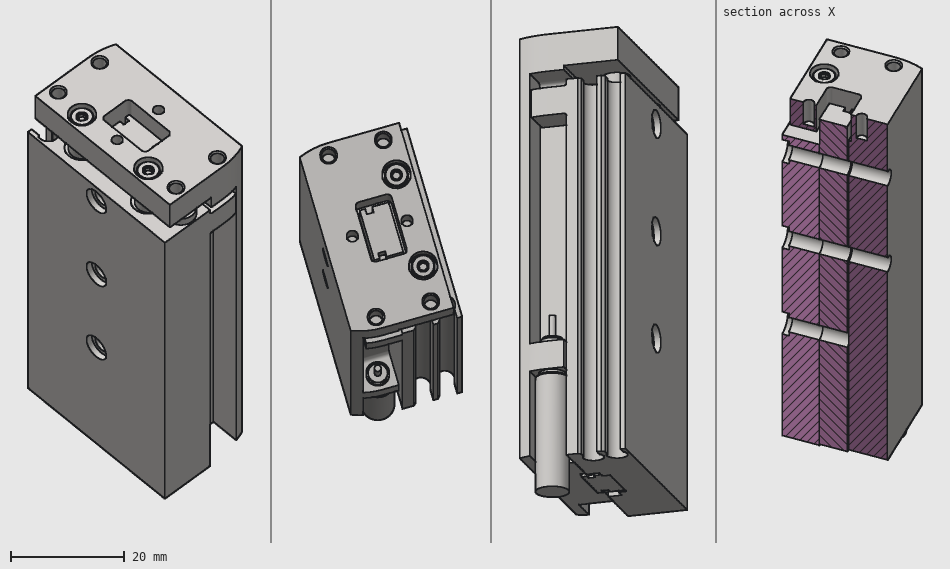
import cadquery as cq
import math

TOP = 84.0
THICKNESS = 20.0
CUT_MARGIN = 4.2

HOUSING_HALF_WIDTH = 35.0 / 2
HOUSING_FACE_Y = 10.9
HOUSING_BOTTOM = 5.5
HOUSING_TOP = 75.2
STOP_LUG_TOP = 74.0
STOP_LUG_BOTTOM = 68.9
STOP_LUG_FACE_Y = 17.5
STOP_LUG_FILLET = 0.5
ROD_RECESS_DIAMETER = 6.1
ROD_RECESS_DEPTH = 0.4
MOUNT_HOLE_COUNT = 3
MOUNT_HOLE_PITCH = 19.9
MOUNT_HOLE_TOP_Z = 71.4
MOUNT_HOLE_DIAMETER = 3.3
MOUNT_BORE_DIAMETER = 5.0
MOUNT_BORE_DEPTH = 1.3
THROUGH_MOUNT_HOLES = 2
MOUNT_HOLES = [MOUNT_HOLE_TOP_Z - i * MOUNT_HOLE_PITCH for i in range(MOUNT_HOLE_COUNT)]

SLOT_MOUTHS = [(0.9, 3.95), (5.3, 8.3)]
SLOT_LIP_DEPTH = 1.9
SLOT_DIAMETER = 3.8
SLOT_AXIS_DEPTH = 2.7
SLOT_LEAD_HEIGHT = 0.5
SLOT_LEAD_DEPTH = 0.5

BUMPER_X = 14.5
BUMPER_Y = 6.7
BUMPER_DIAMETER = 5.5
BUMPER_TOP = 76.9
BUMPER_TIP_TOP = 77.3
BUMPER_TIP_DIAMETER = 2.0

RAIL_HALF_WIDTH = 4.6
RAIL_FRONT_Y = 7.05
RAIL_BACK_Y = 12.35
RAIL_BOTTOM = 5.7
RAIL_TOP = 81.0
RACE_DEPTH = 1.0
RACE_FRONT_Y = 10.1
RACE_BACK_Y = 11.3

TABLE_HALF_WIDTH = 17.2
TABLE_BOTTOM = 6.2
SHOULDER_Y = 14.45
SHOULDER_INSET = 1.1
BACK_PLATE_Y = 17.9
END_PLATE_FRONT_Y = 1.5
END_PLATE_BOTTOM = 77.9
LEFT_POCKET_TOP = 77.1
RIGHT_POCKET_TOP = HOUSING_TOP
GUIDE_HALF_WIDTH = 11.0
GUIDE_FRONT_Y = 11.5
POCKET_FILLET = 0.9
ADJUSTER_LUG_TOP = 27.05
ADJUSTER_LUG_BOTTOM = 21.9
GUIDE_GAP = 0.25
GUIDE_ARM_HALF_WIDTH = 6.05
GUIDE_ARM_TIP_HALF_WIDTH = 5.55
GUIDE_ARM_CHAMFER_Y = 9.9
GUIDE_ARM_FRONT_Y = 8.7
WINDOW_HALF_WIDTH = 5.55
WINDOW_FRONT_Y = 6.5
WINDOW_BACK_Y = 13.0
WINDOW_FILLET = 0.8

PLATE_HOLE_X = 15.0
PLATE_HOLE_ROWS = [5.0, 15.0]
PLATE_HOLE_DEPTH = 5.0
TAPPED_DIAMETER = 2.4
TAPPED_MOUTH_DIAMETER = 3.0
PIN_HOLE_DIAMETER = 2.0

ROD_X = 8.5
ROD_Y = 4.5
ROD_DIAMETER = 4.8
ROD_BOTTOM = 50.4
SCREW_SHANK_DIAMETER = 2.8
SCREW_HEAD_DIAMETER = 4.1
SCREW_HEAD_EDGE = 0.2
SCREW_HEAD_BOTTOM = 81.5
SCREW_HEAD_TOP = 83.5
SCREW_BORE_DIAMETER = 5.0
SOCKET_WIDTH_ACROSS_CORNERS = 1.6
SOCKET_MOUTH_DIAMETER = 2.0
SOCKET_MOUTH_DEPTH = 0.25
SOCKET_DEPTH = 1.0

ADJUSTER_X = -14.4
ADJUSTER_Y = 14.5
ADJUSTER_BODY_TOP = 21.4
ADJUSTER_BODY_DIAMETER = 6.0
ADJUSTER_BODY_CHAMFER = 0.4
ADJUSTER_COLLAR_DIAMETER = 4.8
ADJUSTER_THREAD_DIAMETER = 3.45
ADJUSTER_NUT_DIAMETER = 4.1
ADJUSTER_NUT_TOP = 28.0
ADJUSTER_THREAD_TOP = 28.4
ADJUSTER_PIN_DIAMETER = 1.2
ADJUSTER_PIN_TOP = 32.6


def block(x0, x1, y0, y1, z0, z1):
    """Box between two opposite corners."""
    return cq.Workplane("XY").box(x1 - x0, y1 - y0, z1 - z0, centered=False).translate((x0, y0, z0))


def post(x, y, diameter, z0, z1):
    """Cylinder along Z."""
    return cq.Workplane("XY").circle(diameter / 2).extrude(z1 - z0).translate((x, y, z0))


def cross_hole(z, diameter, y0, y1):
    """Cylinder along Y on the centre plane."""
    return cq.Workplane("XZ").circle(diameter / 2).extrude(y0 - y1).translate((0, y0, z))


def shouldered_outline(half_width, front_y):
    """Outline with straight sides and tangent shoulder arcs that run up to the table face."""
    rise = THICKNESS - SHOULDER_Y
    radius = (rise**2 + SHOULDER_INSET**2) / (2 * SHOULDER_INSET)
    half_angle = math.asin(rise / radius) / 2
    mid_x = half_width - radius * (1 - math.cos(half_angle))
    mid_y = SHOULDER_Y + radius * math.sin(half_angle)
    edge_x = half_width - SHOULDER_INSET
    return (
        cq.Workplane("XY")
        .moveTo(-half_width, front_y)
        .lineTo(half_width, front_y)
        .lineTo(half_width, SHOULDER_Y)
        .threePointArc((mid_x, mid_y), (edge_x, THICKNESS))
        .lineTo(-edge_x, THICKNESS)
        .threePointArc((-mid_x, mid_y), (-half_width, SHOULDER_Y))
        .close()
    )


def sensor_slot(mouth):
    """Keyhole slot that runs the whole length of the left side."""
    lip_low, lip_high = mouth
    axis_x = SLOT_AXIS_DEPTH - HOUSING_HALF_WIDTH
    lip_x = SLOT_LIP_DEPTH - HOUSING_HALF_WIDTH
    channel = block(-HOUSING_HALF_WIDTH, axis_x, lip_low, lip_high, HOUSING_BOTTOM, HOUSING_TOP)
    chamber = post(axis_x, (lip_low + lip_high) / 2, SLOT_DIAMETER, HOUSING_BOTTOM, HOUSING_TOP)
    behind_lips = block(lip_x, 0, 0, HOUSING_FACE_Y, HOUSING_BOTTOM, HOUSING_TOP)
    lead = (
        cq.Workplane("XY")
        .moveTo(-HOUSING_HALF_WIDTH, lip_high)
        .lineTo(-HOUSING_HALF_WIDTH, lip_high + SLOT_LEAD_HEIGHT)
        .lineTo(SLOT_LEAD_DEPTH - HOUSING_HALF_WIDTH, lip_high)
        .close()
        .extrude(HOUSING_TOP - HOUSING_BOTTOM)
        .translate((0, 0, HOUSING_BOTTOM))
    )
    return channel.union(chamber.intersect(behind_lips)).union(lead)


def stop_lugs():
    """Pair of lugs beside the table guide, with rounded roots on the housing face."""
    inner = GUIDE_HALF_WIDTH + GUIDE_GAP
    bar = (
        shouldered_outline(HOUSING_HALF_WIDTH, 0)
        .extrude(STOP_LUG_TOP - STOP_LUG_BOTTOM)
        .translate((0, 0, STOP_LUG_BOTTOM))
    )
    limit = HOUSING_HALF_WIDTH + CUT_MARGIN
    bar = bar.intersect(block(-limit, limit, 0, STOP_LUG_FACE_Y, STOP_LUG_BOTTOM, STOP_LUG_TOP))
    return bar.cut(block(-inner, inner, HOUSING_FACE_Y, THICKNESS, STOP_LUG_BOTTOM, STOP_LUG_TOP))


def make_housing():
    half = HOUSING_HALF_WIDTH
    body = block(-half, half, 0, HOUSING_FACE_Y, HOUSING_BOTTOM, HOUSING_TOP).union(stop_lugs())
    roots = cq.selectors.BoxSelector(
        (-half, HOUSING_FACE_Y - STOP_LUG_FILLET, STOP_LUG_BOTTOM - STOP_LUG_FILLET),
        (half, HOUSING_FACE_Y + STOP_LUG_FILLET, STOP_LUG_TOP + STOP_LUG_FILLET),
    )
    body = body.edges(roots).edges("|X").fillet(STOP_LUG_FILLET)
    for mouth in SLOT_MOUTHS:
        body = body.cut(sensor_slot(mouth))
    recess_bottom = HOUSING_TOP - ROD_RECESS_DEPTH
    for x in (-ROD_X, ROD_X):
        body = body.cut(post(x, ROD_Y, ROD_DIAMETER, ROD_BOTTOM, HOUSING_TOP))
        body = body.cut(post(x, ROD_Y, ROD_RECESS_DIAMETER, recess_bottom, HOUSING_TOP))
    arm_room = GUIDE_ARM_HALF_WIDTH + GUIDE_GAP
    arm_floor = GUIDE_ARM_FRONT_Y - GUIDE_GAP
    body = body.cut(block(-arm_room, arm_room, arm_floor, THICKNESS, HOUSING_BOTTOM, HOUSING_TOP))
    body = body.cut(
        block(-RAIL_HALF_WIDTH, RAIL_HALF_WIDTH, RAIL_FRONT_Y, THICKNESS, HOUSING_BOTTOM, HOUSING_TOP)
    )
    for z in MOUNT_HOLES:
        body = body.cut(cross_hole(z, MOUNT_HOLE_DIAMETER, 0, HOUSING_FACE_Y))
        body = body.cut(cross_hole(z, MOUNT_BORE_DIAMETER, 0, MOUNT_BORE_DEPTH))
    body = body.union(post(BUMPER_X, BUMPER_Y, BUMPER_DIAMETER, HOUSING_TOP, BUMPER_TOP))
    return body.union(post(BUMPER_X, BUMPER_Y, BUMPER_TIP_DIAMETER, BUMPER_TOP, BUMPER_TIP_TOP))


def rail_section(bottom, top):
    """Rail with a race along each flank, without holes."""
    half = RAIL_HALF_WIDTH
    section = block(-half, half, RAIL_FRONT_Y, RAIL_BACK_Y, bottom, top)
    for race_x in (-half, half - RACE_DEPTH):
        section = section.cut(
            block(race_x, race_x + RACE_DEPTH, RACE_FRONT_Y, RACE_BACK_Y, bottom, top)
        )
    return section


def make_rail():
    rail = rail_section(RAIL_BOTTOM, RAIL_TOP)
    for z in MOUNT_HOLES:
        rail = rail.cut(cross_hole(z, MOUNT_HOLE_DIAMETER, RAIL_FRONT_Y, RAIL_BACK_Y))
    return rail


def side_pocket(side, z0, z1):
    """Open recess beside the guide, rounded where it meets the guide."""
    outer = TABLE_HALF_WIDTH + CUT_MARGIN
    pocket = block(GUIDE_HALF_WIDTH, outer, 0, BACK_PLATE_Y, z0, z1).edges("|Y and <X").fillet(POCKET_FILLET)
    return pocket if side > 0 else pocket.mirror("YZ")


def guide_arms():
    """Chamfered block that embraces the rail; its tongues fill the races of the rail."""
    return (
        cq.Workplane("XY")
        .moveTo(-GUIDE_ARM_HALF_WIDTH, GUIDE_FRONT_Y)
        .lineTo(-GUIDE_ARM_HALF_WIDTH, GUIDE_ARM_CHAMFER_Y)
        .lineTo(-GUIDE_ARM_TIP_HALF_WIDTH, GUIDE_ARM_FRONT_Y)
        .lineTo(GUIDE_ARM_TIP_HALF_WIDTH, GUIDE_ARM_FRONT_Y)
        .lineTo(GUIDE_ARM_HALF_WIDTH, GUIDE_ARM_CHAMFER_Y)
        .lineTo(GUIDE_ARM_HALF_WIDTH, GUIDE_FRONT_Y)
        .close()
        .extrude(END_PLATE_BOTTOM - TABLE_BOTTOM)
        .translate((0, 0, TABLE_BOTTOM))
    )


def tapped_hole(x, y):
    """Blind hole with a chamfered mouth."""
    radius = TAPPED_DIAMETER / 2
    mouth_radius = TAPPED_MOUTH_DIAMETER / 2
    lead = mouth_radius - radius
    hole = post(x, y, TAPPED_DIAMETER, TOP - PLATE_HOLE_DEPTH, TOP)
    mouth = cq.Solid.makeCone(radius, mouth_radius, lead, pnt=cq.Vector(x, y, TOP - lead))
    return hole.union(cq.Workplane(mouth))


def make_table():
    table = (
        shouldered_outline(TABLE_HALF_WIDTH, END_PLATE_FRONT_Y)
        .extrude(TOP - TABLE_BOTTOM)
        .translate((0, 0, TABLE_BOTTOM))
    )
    wide = TABLE_HALF_WIDTH + CUT_MARGIN
    below = TABLE_BOTTOM - CUT_MARGIN
    table = table.cut(block(-wide, wide, 0, GUIDE_FRONT_Y, TABLE_BOTTOM, END_PLATE_BOTTOM))
    table = table.cut(side_pocket(1, below, RIGHT_POCKET_TOP))
    table = table.cut(side_pocket(-1, ADJUSTER_LUG_TOP, LEFT_POCKET_TOP))
    table = table.cut(side_pocket(-1, below, ADJUSTER_LUG_BOTTOM))

    table = table.union(guide_arms())
    table = table.cut(rail_section(TABLE_BOTTOM, END_PLATE_BOTTOM))
    half = RAIL_HALF_WIDTH
    clearance_y = RAIL_BACK_Y + GUIDE_GAP
    table = table.cut(block(-half, half, RAIL_BACK_Y, clearance_y, TABLE_BOTTOM, END_PLATE_BOTTOM))
    window = block(
        -WINDOW_HALF_WIDTH, WINDOW_HALF_WIDTH, WINDOW_FRONT_Y, WINDOW_BACK_Y, END_PLATE_BOTTOM, TOP
    )
    table = table.cut(window.edges("|Z").fillet(WINDOW_FILLET))

    for y in PLATE_HOLE_ROWS:
        for x in (-PLATE_HOLE_X, PLATE_HOLE_X):
            table = table.cut(tapped_hole(x, y))
        table = table.cut(post(0, y, PIN_HOLE_DIAMETER, TOP - PLATE_HOLE_DEPTH, TOP))
    for x in (-ROD_X, ROD_X):
        table = table.cut(post(x, ROD_Y, SCREW_SHANK_DIAMETER, END_PLATE_BOTTOM, TOP))
        table = table.cut(post(x, ROD_Y, SCREW_BORE_DIAMETER, SCREW_HEAD_BOTTOM, TOP))

    for z in MOUNT_HOLES[:THROUGH_MOUNT_HOLES]:
        table = table.cut(cross_hole(z, MOUNT_HOLE_DIAMETER, GUIDE_FRONT_Y, THICKNESS))
    return table.cut(
        post(ADJUSTER_X, ADJUSTER_Y, ADJUSTER_THREAD_DIAMETER, ADJUSTER_LUG_BOTTOM, ADJUSTER_LUG_TOP)
    )


def make_rod(x):
    rod = post(x, ROD_Y, ROD_DIAMETER, ROD_BOTTOM, END_PLATE_BOTTOM)
    rod = rod.union(post(x, ROD_Y, SCREW_SHANK_DIAMETER, END_PLATE_BOTTOM, SCREW_HEAD_BOTTOM))
    head = post(x, ROD_Y, SCREW_HEAD_DIAMETER, SCREW_HEAD_BOTTOM, SCREW_HEAD_TOP)
    rod = rod.union(head.edges(">Z").chamfer(SCREW_HEAD_EDGE))
    socket = cq.Workplane("XY").polygon(6, SOCKET_WIDTH_ACROSS_CORNERS).extrude(SOCKET_DEPTH)
    mouth_bottom = SCREW_HEAD_TOP - SOCKET_MOUTH_DEPTH
    rod = rod.cut(post(x, ROD_Y, SOCKET_MOUTH_DIAMETER, mouth_bottom, SCREW_HEAD_TOP))
    return rod.cut(socket.translate((x, ROD_Y, SCREW_HEAD_TOP - SOCKET_DEPTH)))


def make_adjuster():
    steps = [
        (ADJUSTER_COLLAR_DIAMETER, ADJUSTER_BODY_TOP, ADJUSTER_LUG_BOTTOM),
        (ADJUSTER_THREAD_DIAMETER, ADJUSTER_LUG_BOTTOM, ADJUSTER_LUG_TOP),
        (ADJUSTER_NUT_DIAMETER, ADJUSTER_LUG_TOP, ADJUSTER_NUT_TOP),
        (ADJUSTER_THREAD_DIAMETER, ADJUSTER_NUT_TOP, ADJUSTER_THREAD_TOP),
        (ADJUSTER_PIN_DIAMETER, ADJUSTER_THREAD_TOP, ADJUSTER_PIN_TOP),
    ]
    body = post(ADJUSTER_X, ADJUSTER_Y, ADJUSTER_BODY_DIAMETER, 0, ADJUSTER_BODY_TOP)
    adjuster = body.faces(">Z").chamfer(ADJUSTER_BODY_CHAMFER)
    for diameter, bottom, top in steps:
        adjuster = adjuster.union(post(ADJUSTER_X, ADJUSTER_Y, diameter, bottom, top))
    return adjuster


housing = make_housing()
rail = make_rail()
table = make_table()
adjuster = make_adjuster()
rods = [make_rod(x) for x in (-ROD_X, ROD_X)]

result = cq.Compound.makeCompound(
    [housing.val(), rail.val(), table.val(), adjuster.val(), *[rod.val() for rod in rods]]
)